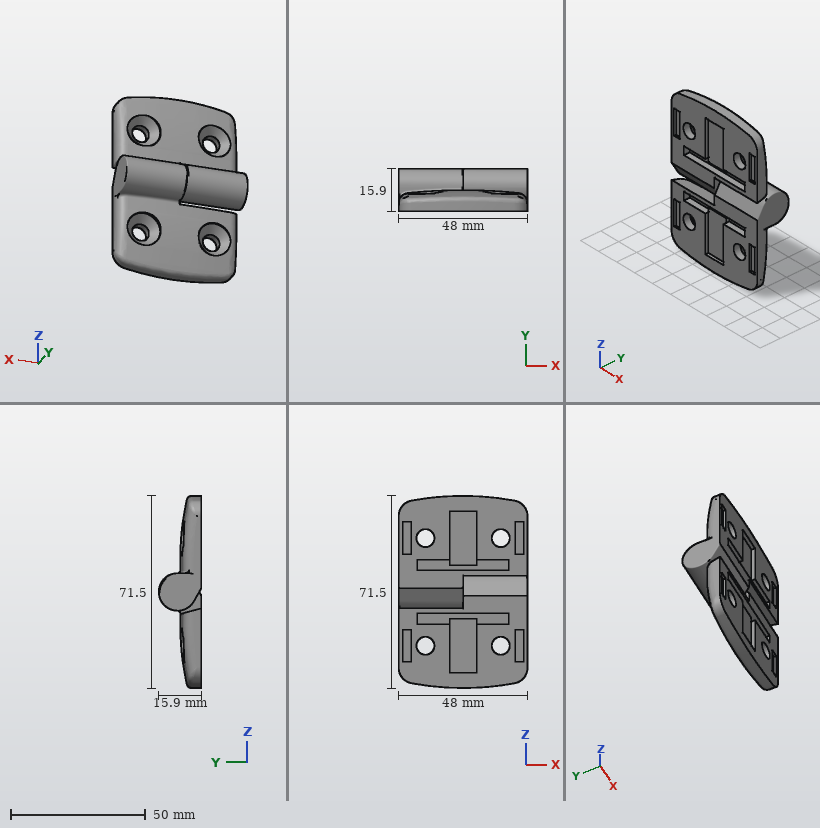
import cadquery as cq
import math

width = 48.0
height = 71.5
knuckle_radius = 7.0
pivot_y = 8.9
half_width = width / 2
half_height = height / 2

end_arc_radius = 105.0
corner_radius = 6.0
plate_thickness = 7.9
crown_radius = 200.0
side_round_radius = 4.0
slope_start_z = 13.0
slope_radius = 95.0
end_round_radius = 1.8
slope_angle = 20.0

hinge_edge_z = 6.08
hinge_edge_tilt = 15.0
knuckle_flank_angle = 60.0
root_round_radius = 1.0
rim_round_radius = 0.4
plate_overlap_z = 6.0

hole_x = 14.0
hole_z = 20.0
hole_diameter = 6.6
head_diameter = 13.0
head_seat_y = 6.6
head_cone_angle = 90.0

centre_pocket_width = 10.0
centre_pocket_z = (10.0, 30.0)
centre_pocket_depth = 1.5
cross_slot_width = 34.0
cross_slot_z = (8.0, 12.0)
cross_slot_depth = 3.0
side_pocket_width = 3.2
side_pocket_x = 20.9
side_pocket_z = (14.0, 26.0)
side_pocket_depth = 1.0

margin = 5.0
tolerance = 0.001


def box(x_range, y_range, z_range):
    size = [end - start for start, end in (x_range, y_range, z_range)]
    corner = (x_range[0], y_range[0], z_range[0])
    return cq.Workplane("XY").box(*size, centered=False).translate(corner)


def plate_outline():
    """Plate outline seen along Y, with a bowed free end, as a solid prism."""
    arc_centre_z = half_height - end_arc_radius
    corner_x = half_width - corner_radius
    centre_distance = end_arc_radius - corner_radius
    corner_z = arc_centre_z + math.sqrt(centre_distance**2 - corner_x**2)
    tangent_x = corner_x * end_arc_radius / centre_distance
    tangent_z = arc_centre_z + (corner_z - arc_centre_z) * end_arc_radius / centre_distance
    bend = (math.pi / 2 - math.asin(corner_x / centre_distance)) / 2
    middle_x = corner_x + corner_radius * math.cos(bend)
    middle_z = corner_z + corner_radius * math.sin(bend)
    outline = (
        cq.Workplane("XZ")
        .moveTo(-half_width, 0)
        .lineTo(half_width, 0)
        .lineTo(half_width, corner_z)
        .threePointArc((middle_x, middle_z), (tangent_x, tangent_z))
        .threePointArc((0, half_height), (-tangent_x, tangent_z))
        .threePointArc((-middle_x, middle_z), (-half_width, corner_z))
        .close()
    )
    return outline.extrude(-(plate_thickness + margin))


def crowned_section():
    """Cross-section of the plate: crowned top with rounded sides."""
    crown_centre_y = plate_thickness - crown_radius
    round_x = half_width - side_round_radius
    centre_distance = crown_radius - side_round_radius
    round_y = crown_centre_y + math.sqrt(centre_distance**2 - round_x**2)
    tangent_x = round_x * crown_radius / centre_distance
    tangent_y = crown_centre_y + (round_y - crown_centre_y) * crown_radius / centre_distance
    bend = (math.pi / 2 - math.asin(round_x / centre_distance)) / 2
    middle_x = round_x + side_round_radius * math.cos(bend)
    middle_y = round_y + side_round_radius * math.sin(bend)
    return (
        cq.Workplane("XY")
        .moveTo(-half_width, -margin)
        .lineTo(half_width, -margin)
        .lineTo(half_width, round_y)
        .threePointArc((middle_x, middle_y), (tangent_x, tangent_y))
        .threePointArc((0, plate_thickness), (-tangent_x, tangent_y))
        .threePointArc((-middle_x, middle_y), (-half_width, round_y))
        .close()
    )


def plate():
    """Plate with its crowned, bent outer surface and a rounded free end."""
    level = crowned_section().extrude(slope_start_z)
    axis_y = plate_thickness - slope_radius
    bent = (
        crowned_section()
        .revolve(slope_angle, (0, axis_y, 0), (1, axis_y, 0))
        .translate((0, 0, slope_start_z))
    )
    body = level.union(bent).intersect(plate_outline())
    end_rim = [edge for edge in body.edges().vals() if edge.geomType() == "BSPLINE"]
    return body.newObject(end_rim).fillet(end_round_radius)


def hinge_edge_trim():
    """Removes the plate beside the other leaf's knuckle, leaving a tilted edge."""
    reach_y = plate_thickness + margin
    rise = reach_y * math.tan(math.radians(hinge_edge_tilt))
    return (
        cq.Workplane("YZ")
        .moveTo(0, -margin)
        .lineTo(reach_y, -margin)
        .lineTo(reach_y, hinge_edge_z + rise)
        .lineTo(0, hinge_edge_z)
        .close()
        .extrude(half_width)
    )


def knuckle():
    """Barrel half with a flat top and a slanted flank down to the mounting face."""
    flank = math.radians(knuckle_flank_angle)
    tangent_y = pivot_y - knuckle_radius * math.sin(flank)
    tangent_z = -knuckle_radius * math.cos(flank)
    foot_z = tangent_z + tangent_y * math.tan(flank)
    return (
        cq.Workplane("YZ")
        .moveTo(0, knuckle_radius)
        .lineTo(pivot_y, knuckle_radius)
        .threePointArc((pivot_y + knuckle_radius, 0), (pivot_y, -knuckle_radius))
        .threePointArc(
            (pivot_y - knuckle_radius * math.sin(flank / 2), -knuckle_radius * math.cos(flank / 2)),
            (tangent_y, tangent_z),
        )
        .lineTo(0, foot_z)
        .close()
        .extrude(-half_width)
    )


def knuckle_half_plate():
    """Plate trimmed to its tilted hinge edge on +X and run into the knuckle on -X."""
    body = plate().cut(hinge_edge_trim())
    body = body.faces(">X").edges("<Z").fillet(rim_round_radius)
    return body.cut(box((-half_width, 0), (0, plate_thickness + margin), (-margin, plate_overlap_z)))


def root_round(sharp_body):
    """Stretch of the leaf with the concave round between knuckle and plate, short of the rims."""
    stretch = sharp_body.intersect(
        box(
            (-half_width + rim_round_radius, -rim_round_radius),
            (0, pivot_y + knuckle_radius),
            (plate_overlap_z, slope_start_z),
        )
    )
    root_edges = [
        edge
        for edge in stretch.edges().vals()
        if abs(edge.Center().z - knuckle_radius) < tolerance and edge.geomType() == "CIRCLE"
    ]
    return stretch.newObject(root_edges).fillet(root_round_radius)


def screw_hole(x):
    """Through hole with a countersink below a flat-bottomed head recess."""
    cone_depth = (head_diameter - hole_diameter) / 2 / math.tan(math.radians(head_cone_angle / 2))
    profile = (
        cq.Workplane("XY")
        .moveTo(0, -margin)
        .lineTo(hole_diameter / 2, -margin)
        .lineTo(hole_diameter / 2, head_seat_y - cone_depth)
        .lineTo(head_diameter / 2, head_seat_y)
        .lineTo(head_diameter / 2, plate_thickness + margin)
        .lineTo(0, plate_thickness + margin)
        .close()
    )
    return profile.revolve(360, (0, 0, 0), (0, 1, 0)).translate((x, 0, hole_z))


def pocket(x, pocket_width, z_range, depth):
    return box((x - pocket_width / 2, x + pocket_width / 2), (-margin, depth), z_range)


def cross_slot():
    """Slot across the leaf, deeper than the centre pocket but not carried under it."""
    slot = pocket(0, cross_slot_width, cross_slot_z, cross_slot_depth)
    pocket_floor = pocket(0, centre_pocket_width, centre_pocket_z, cross_slot_depth)
    return slot.cut(pocket_floor)


def leaf():
    """Leaf above the pivot, with its knuckle on the -X half."""
    base = knuckle_half_plate()
    sharp_knuckle = knuckle()
    rounded_knuckle = sharp_knuckle.faces("<X or >X").edges("not <Y").fillet(rim_round_radius)
    body = base.union(rounded_knuckle).union(root_round(base.union(sharp_knuckle)))
    for side in (-1, 1):
        body = body.cut(screw_hole(side * hole_x))
        body = body.cut(pocket(side * side_pocket_x, side_pocket_width, side_pocket_z, side_pocket_depth))
    body = body.cut(pocket(0, centre_pocket_width, centre_pocket_z, centre_pocket_depth))
    return body.cut(cross_slot())


upper_leaf = leaf()
lower_leaf = leaf().rotate((0, 0, 0), (0, 1, 0), 180)

result = cq.Compound.makeCompound([upper_leaf.val(), lower_leaf.val()])